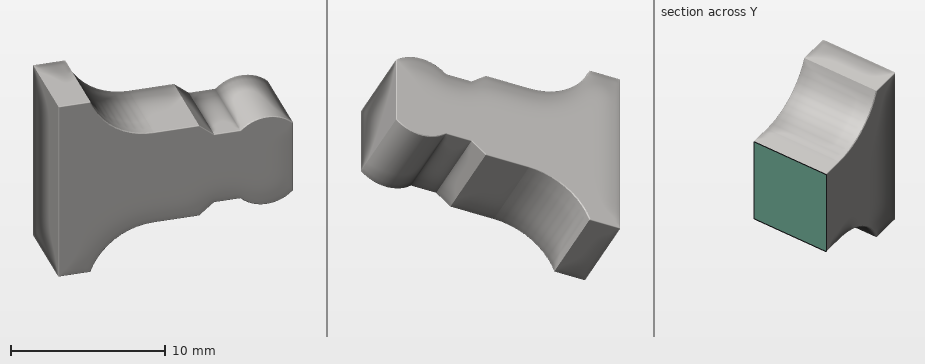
import cadquery as cq
import math

width = 5.715
length = 15.875
base_height = 12.7

base_length = 2.17
knob_length = 3.556
neck_length = 1.778
shoulder_length = 1.016

base_half = base_height / 2
body_half = 3.3655
neck_half = 2.54

knob_radius = 2.54
flare_radius = 4.572
edge_radius = 0.0635

flare_rise = base_half - body_half
flare_angle = math.acos(1 - flare_rise / flare_radius)
flare_length = flare_radius * math.sin(flare_angle)

knob_rise = knob_radius - math.sqrt(knob_radius**2 - (knob_length / 2) ** 2)

flare_start = base_length + flare_length
neck_end = length - knob_length
shoulder_top = neck_end - neck_length - shoulder_length
shoulder_bottom = neck_end - neck_length
knob_middle = length - knob_length / 2


def flare_middle():
    """Position along Y and half height of the point midway along the flare arc."""
    half_angle = flare_angle / 2
    y = flare_start - flare_radius * math.sin(half_angle)
    half_height = body_half + flare_radius * (1 - math.cos(half_angle))
    return y, half_height


def make_lower_half():
    """Half of the profile below Z = 0, extruded across the full width."""
    flare_middle_y, flare_middle_half = flare_middle()
    return (
        cq.Workplane("YZ")
        .moveTo(0, 0)
        .lineTo(0, -base_half)
        .lineTo(base_length, -base_half)
        .threePointArc((flare_middle_y, -flare_middle_half), (flare_start, -body_half))
        .lineTo(shoulder_top, -body_half)
        .lineTo(shoulder_bottom, -neck_half)
        .lineTo(neck_end, -neck_half)
        .threePointArc((knob_middle, -neck_half - knob_rise), (length, -neck_half))
        .lineTo(length, 0)
        .close()
        .extrude(width / 2, both=True)
    )


def break_side_edges(half):
    """Round the outline of the two flat sides, leaving the edges on the mid-plane sharp."""
    return half.faces("<X or >X").edges("not >Z").fillet(edge_radius)


def join_halves(half):
    """Join a half to its mirror image across the mid-plane."""
    return half.union(half.mirror("XY")).clean()


result = join_halves(break_side_edges(make_lower_half()))